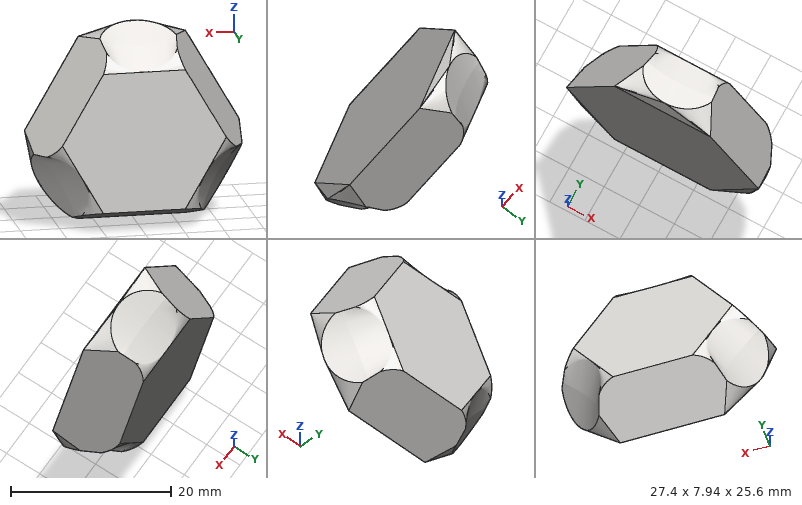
import cadquery as cq
import math


depth = 7.94
front_radius = 13.685
side_count = 6
cos30 = math.cos(math.radians(30))
sin30 = 0.5
front_apothem = front_radius * cos30
wall_taper = math.tan(math.asin(1 / 3))
back_apothem = front_apothem - wall_taper * depth
back_radius = back_apothem / cos30

pad_count = 3
pad_turn = 360 / pad_count
front_tip_y = 0.62
front_tip_z = 13.74
crease_y = 4.3
crease_z = 11.5
front_end_x = 4.87
front_end_y = 3.9
back_end_x = 4.53
back_end_y = 6.3
crease_share = 0.3
shoulder_bow = 0.25

origin = cq.Vector(0, 0, 0)
y_axis = cq.Vector(0, 1, 0)


def wall_point(x, y):
    """Point on the flat wall to the right of the top pad."""
    apothem = front_apothem - wall_taper * y
    return cq.Vector(x, y, (apothem - cos30 * x) / sin30)


def mirrored(point):
    return cq.Vector(-point.x, point.y, point.z)


front_corner = cq.Vector(front_radius / 2, 0, front_apothem)
back_corner = cq.Vector(back_radius / 2, depth, back_apothem)
front_tip = cq.Vector(0, front_tip_y, front_tip_z)
back_tip = cq.Vector(0, depth, back_apothem)
crease_middle = cq.Vector(0, crease_y, crease_z)
front_end = wall_point(front_end_x, front_end_y)
back_end = wall_point(back_end_x, back_end_y)
crease_end = front_end + (back_end - front_end) * crease_share


def line(start, end):
    return cq.Edge.makeLine(start, end)


def planar_face(edges):
    return cq.Face.makeFromWires(cq.Wire.assembleEdges(edges))


def polygon_face(points):
    return planar_face([line(points[i - 1], points[i]) for i in range(len(points))])


def half_arc(middle, end):
    """Arc from middle to end: the right half of an arc symmetric about x = 0."""
    chord_centre = cq.Vector(0, end.y, end.z)
    rise = (middle - chord_centre).Length
    radius = (end.x**2 + rise**2) / (2 * rise)
    inward = (chord_centre - middle).normalized()
    centre = middle + inward * radius
    halfway = ((middle - centre) + (end - centre)).normalized() * radius
    return cq.Edge.makeThreePointArc(middle, centre + halfway, end)


def full_arc(middle, end):
    """Arc through middle, from the mirror image of end to end."""
    return cq.Edge.makeThreePointArc(mirrored(end), middle, end)


def reversed_arc(arc):
    return cq.Edge.makeThreePointArc(arc.endPoint(), arc.positionAt(0.5), arc.startPoint())


def shoulder_edge():
    """Bowed edge in the flat wall from the pad to the back corner."""
    wall_normal = cq.Vector(cos30, wall_taper, sin30)
    outward = wall_normal.cross(back_corner - back_end).normalized()
    middle = (back_end + back_corner) * 0.5 + outward * shoulder_bow
    return cq.Edge.makeThreePointArc(back_end, middle, back_corner)


def hollow_faces():
    """Concave outer face of the top pad: two ruled strips that meet at the crease."""
    front_arc = full_arc(front_tip, front_end)
    crease = full_arc(crease_middle, crease_end)
    back_arc = full_arc(back_tip, back_end)
    return [cq.Face.makeRuledSurface(front_arc, crease), cq.Face.makeRuledSurface(crease, back_arc)]


def right_blend_faces():
    """Faces at x > 0 that blend the top pad into the front and back hexagon corners."""
    front_arc = half_arc(front_tip, front_end)
    back_arc = half_arc(back_tip, back_end)
    apex = cq.Vertex.makeVertex(*front_corner.toTuple())
    front_cone = cq.occ_impl.shapes.loft(apex, front_arc, ruled=True)
    shoulder = cq.Face.makeRuledSurface(shoulder_edge(), reversed_arc(back_arc))
    return [front_cone, shoulder]


def pad_faces():
    """All faces of the top pad, with the flat triangle at its front."""
    right_blends = right_blend_faces()
    left_blends = [face.mirror("YZ") for face in right_blends]
    triangle = polygon_face([front_corner, front_tip, mirrored(front_corner)])
    return hollow_faces() + right_blends + left_blends + [triangle]


def wall_face():
    """Flat wall between the top pad and the next one."""
    near_edges = [
        line(front_corner, front_end),
        line(front_end, crease_end),
        line(crease_end, back_end),
        shoulder_edge(),
    ]
    far_edges = [edge.mirror("YZ").rotate(origin, y_axis, pad_turn) for edge in near_edges]
    front_edge = line(front_corner, far_edges[0].startPoint())
    back_edge = line(back_corner, far_edges[-1].endPoint())
    return planar_face(near_edges + [back_edge] + far_edges[::-1] + [front_edge])


def hexagon_corners(radius, y):
    angles = [math.radians(index * 360 / side_count) for index in range(side_count)]
    return [cq.Vector(radius * math.cos(angle), y, radius * math.sin(angle)) for angle in angles]


def back_face():
    """Back hexagon, with its pad sides split where the back tips of the pads touch them."""
    corners = hexagon_corners(back_radius, depth)
    points = []
    for index, corner in enumerate(corners):
        points.append(corner)
        if index % 2 == 1:
            next_corner = corners[(index + 1) % side_count]
            points.append((corner + next_corner) * 0.5)
    return polygon_face(points)


def build_part():
    """Sew all faces into one closed solid."""
    faces = [polygon_face(hexagon_corners(front_radius, 0)), back_face()]
    sector = pad_faces() + [wall_face()]
    for index in range(pad_count):
        faces += [face.rotate(origin, y_axis, index * pad_turn) for face in sector]
    return cq.Solid.makeSolid(cq.Shell.makeShell(faces))


result = cq.Workplane("XY").newObject([build_part()])